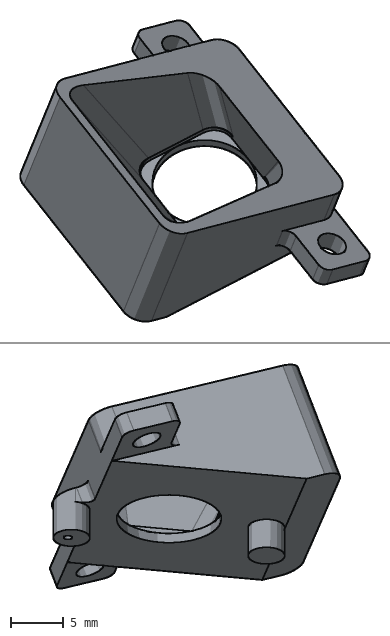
import cadquery as cq
import math

tilt_angle = 20.0
body_width = 21.7
body_length = 21.72
body_height = 12.0
body_corner_radius = 2.0
height_above_hinge = 5.5

ear_size = 6.0
ear_thickness = 2.0
ear_radius = 1.0
ear_hole_diameter = 2.8

peg_diameter = 3.5
peg_length = 3.0
peg_spacing = 19.0
pin_hole_diameter = 0.8
pin_hole_offset = 0.35

window_diameter = 10.0
pocket_floor_z = 1.0
well_depth = 0.5
funnel_wall_angle = 24.3
pocket_corner_radius = 2.0

peg_radius = peg_diameter / 2
peg_y = peg_spacing / 2
hinge_y = peg_y - peg_radius
arc_inset = ear_radius * (1 - math.sqrt(0.5))

funnel_height = 15.0
clearance = 20.0

tilt = math.radians(tilt_angle)
tilted_plane = cq.Plane(
    origin=(0, hinge_y, 0),
    xDir=(1, 0, 0),
    normal=(0, math.sin(tilt), math.cos(tilt)),
)


def tilted_box(width, length, height, back_y, base):
    """Box in the tilted frame, reaching forward from back_y and up from base."""
    return (
        cq.Workplane(tilted_plane)
        .workplane(offset=base)
        .center(0, back_y - length / 2)
        .rect(width, length)
        .extrude(height)
    )


def make_body():
    block = tilted_box(
        body_width, body_length, body_height, 0, height_above_hinge - body_height
    )
    corner_edges = cq.selectors.ParallelDirSelector(tilted_plane.zDir)
    return block.edges(corner_edges).fillet(body_corner_radius)


def make_ear(side):
    """Ear flush with the back of the body, with a concave fillet where its front meets the side."""
    inner_x = side * body_width / 2
    outer_x = inner_x + side * ear_size
    root_x = inner_x - side * body_corner_radius
    front_y = -ear_size
    outline = (
        cq.Workplane(tilted_plane)
        .moveTo(root_x, 0)
        .lineTo(outer_x - side * ear_radius, 0)
        .threePointArc((outer_x - side * arc_inset, -arc_inset), (outer_x, -ear_radius))
        .lineTo(outer_x, front_y + ear_radius)
        .threePointArc(
            (outer_x - side * arc_inset, front_y + arc_inset),
            (outer_x - side * ear_radius, front_y),
        )
        .lineTo(inner_x + side * ear_radius, front_y)
        .threePointArc(
            (inner_x + side * arc_inset, front_y - arc_inset),
            (inner_x, front_y - ear_radius),
        )
        .lineTo(root_x, front_y - ear_radius)
        .close()
    )
    hole = (
        cq.Workplane(tilted_plane)
        .center(inner_x + side * ear_size / 2, front_y / 2)
        .circle(ear_hole_diameter / 2)
        .extrude(ear_thickness)
    )
    return outline.extrude(ear_thickness).cut(hole)


def make_heel():
    """Square-cornered strip along the back edge, at the level of the ears and below."""
    return tilted_box(
        body_width, body_corner_radius, 2 * ear_thickness, 0, -ear_thickness
    )


def make_neck_flare():
    """Concave fillets where the neck of the rear peg meets the back of the body."""
    flare_x = peg_radius + ear_radius
    return (
        cq.Workplane(tilted_plane)
        .workplane(offset=-ear_thickness)
        .moveTo(-flare_x, 0)
        .threePointArc((-peg_radius - arc_inset, arc_inset), (-peg_radius, ear_radius))
        .lineTo(peg_radius, ear_radius)
        .threePointArc((peg_radius + arc_inset, arc_inset), (flare_x, 0))
        .close()
        .extrude(2 * ear_thickness)
    )


def make_peg(y, top_z):
    return (
        cq.Workplane("XY", origin=(0, y, -peg_length))
        .circle(peg_radius)
        .extrude(peg_length + top_z)
    )


def make_rear_peg():
    """Rear peg and the neck joining it to the body, both sliced flush with the top of the ears."""
    rise = 2 * ear_thickness
    neck = cq.Workplane("XY").box(
        peg_diameter, peg_y - hinge_y, rise, centered=(True, False, False)
    ).translate((0, hinge_y, 0))
    above_ears = tilted_box(
        2 * clearance, 2 * clearance, clearance, clearance, ear_thickness
    )
    return make_peg(peg_y, rise).union(neck).cut(above_ears)


def make_pocket():
    """Square well opening into a funnel: upright rear wall, other three walls spreading upward."""
    half = window_diameter / 2
    well = (
        cq.Workplane("XY", origin=(0, 0, pocket_floor_z))
        .rect(window_diameter, window_diameter)
        .extrude(well_depth)
        .edges("|Z")
        .fillet(pocket_corner_radius)
    )
    base_z = pocket_floor_z + well_depth
    top_z = base_z + funnel_height
    spread = funnel_height * math.tan(math.radians(funnel_wall_angle))
    side_walls = (
        cq.Workplane("XZ")
        .polyline(
            [
                (-half, base_z),
                (half, base_z),
                (half + spread, top_z),
                (-half - spread, top_z),
            ]
        )
        .close()
        .extrude(clearance, both=True)
    )
    front_and_rear_walls = (
        cq.Workplane("YZ")
        .polyline(
            [
                (-half, base_z),
                (half, base_z),
                (half, top_z),
                (-half - spread, top_z),
            ]
        )
        .close()
        .extrude(clearance, both=True)
    )
    funnel = side_walls.intersect(front_and_rear_walls)
    rising_edges = funnel.edges("not(#Z)")
    return well.union(rising_edges.fillet(pocket_corner_radius))


def make_window():
    return cq.Workplane("XY").circle(window_diameter / 2).extrude(pocket_floor_z)


def make_pin_hole():
    return (
        cq.Workplane("XY", origin=(0, peg_y + pin_hole_offset, -peg_length))
        .circle(pin_hole_diameter / 2)
        .extrude(peg_length + ear_thickness)
    )


below_ground = cq.Workplane("XY").box(
    3 * clearance, 3 * clearance, clearance, centered=(True, True, False)
).translate((0, 0, -clearance))

housing = make_body().union(make_heel()).union(make_neck_flare())
for side in (-1, 1):
    housing = housing.union(make_ear(side))
housing = housing.cut(below_ground)

housing = housing.cut(make_pocket()).cut(make_window())
housing = housing.union(make_peg(-peg_y, 0)).union(make_rear_peg())
result = housing.cut(make_pin_hole())